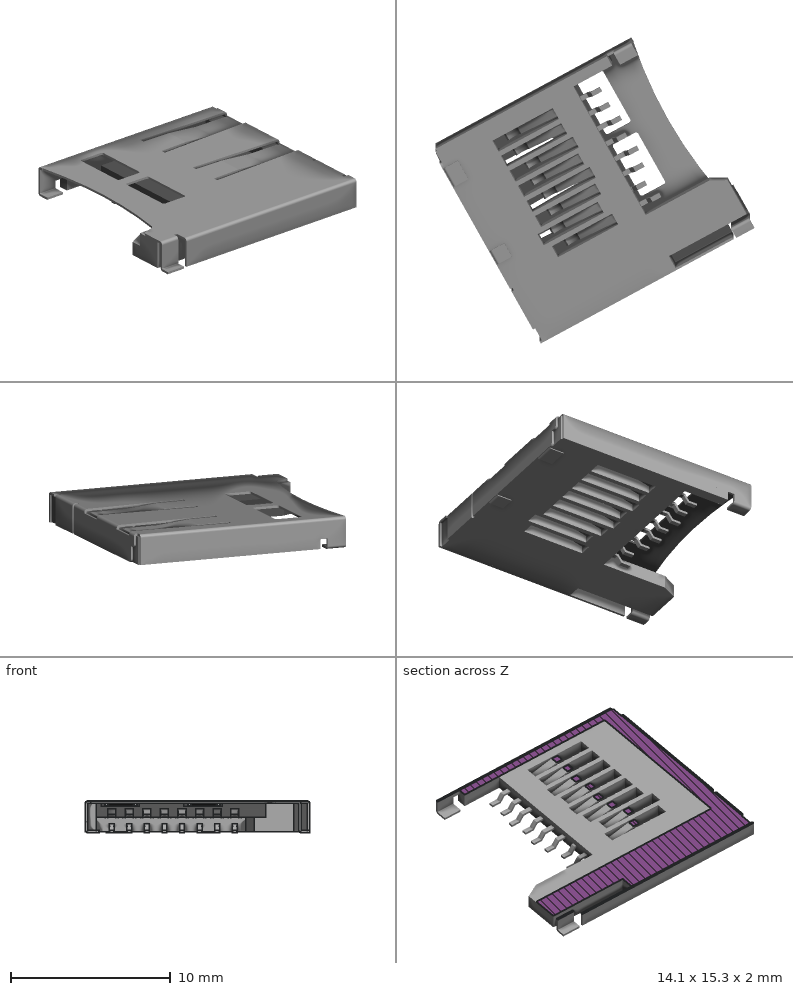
import cadquery as cq
import math

WIDTH = 14.05
LENGTH = 15.25
HEIGHT = 2.0
SHEET = 0.15
BEND = 0.2
BASE = 0.06
CEILING = HEIGHT - SHEET
PICK = 0.02

LEFT_FRONT = 1.05
LEFT_BACK = 15.0
BACK_WALL_LEFT = 0.5
BACK_WALL_STEP_Z = 1.1
BACK_WALL_STEP = 0.45
BACK_WALL_CORNER = 0.21
ARC_CREST = (5.8, 1.57)
ARC_END = (11.38, 0.98)
LIP_FRONT_X = 11.7
LIP_CORNER = 0.26
TAB_WALL_X = 13.5
RELIEF_X = 13.04
RELIEF_FRONT = 1.3
RELIEF_BACK = 1.51
BACK_SLOTS_X = (10.17, 13.13)
BACK_SLOT_WIDTH = 0.2
BACK_SLOT_DEPTH = 0.35

WINDOW_CENTERS_X = (2.84, 7.32)
WINDOW_WIDTH = 3.77
WINDOW_FRONT = 3.63
WINDOW_BACK = 5.43
WINDOW_CORNER = 0.15

SPRING_CENTERS_X = (2.24, 7.43)
SPRING_ROOT_Y = 8.43
SPRING_TIP_Y = 14.99
SPRING_ROOT_HALF = 0.88
SPRING_TIP_HALF = 0.73
SPRING_TIP_CORNER = 0.12
SPRING_DROP = 0.18
SPRING_SLOPE_START = 10.45
SPRING_SLOPE_END = 12.55
CUTOUT_ROOT_HALF = 1.2
CUTOUT_TIP_HALF = 0.99
CUTOUT_DEPTH = 0.27

NOTCH_FRONT = 2.32
NOTCH_BACK = 3.83
NOTCH_TOP = 0.69
LEFT_FOOT_RUN = 0.87
RIGHT_FOOT_RUN = WIDTH - (TAB_WALL_X - SHEET)
BACK_FOOT_RUN = 1.1
BACK_FEET_X = ((1.33, 2.67), (7.34, 8.31))

FLOOR_TOP = 0.96
HOUSING_FRONT = 5.55
HOUSING_BACK = LENGTH - SHEET
ARM_LEFT = 10.03
ARM_RIGHT = RELIEF_X
ARM_BEVEL_X = 0.53
ARM_BEVEL_Y = 1.0
UPPER_LEFT = 11.3
RAIL_RIGHT = 0.69
RAIL_FRONT = 2.79
STOP_FRONT = 14.0
POCKET_CENTERS_X = (2.18, 7.37)
POCKET_HALF = 1.19

CONTACT_FIRST_X = 1.66
CONTACT_PITCH = 1.1
LEG_WIDTH = 0.3
BEAM_WIDTH = 0.5
OPENING_WIDTH = 0.8
NORMAL_SHIFT = -0.43
LONG_SHIFT = -0.64
CONTACT_SHIFTS = (
    NORMAL_SHIFT, NORMAL_SHIFT, LONG_SHIFT, NORMAL_SHIFT,
    LONG_SHIFT, NORMAL_SHIFT, 0.0, NORMAL_SHIFT,
)
OPENING_BACK = 11.65
REAR_OPENING_BACK = 12.06
FOOT_TIP_Y = 4.56
FOOT_HEEL_Y = 5.12
LEG_BEND_Y = 5.43
LEG_TOP = 0.56
BEAM_ROOT_Y = 7.78
CREST_Y = 10.85
CREST_Z = 1.5
CREST_RADIUS = 0.67
CREST_START_ANGLE = 150
CREST_END_ANGLE = 39


def block(x0, x1, y0, y1, z0, z1):
    """Box between two corners."""
    return cq.Workplane("XY").box(x1 - x0, y1 - y0, z1 - z0, centered=False).translate((x0, y0, z0))


def bent_strip(run, drop, length):
    """L-shaped strip along +Y: outer corner on the Y axis, legs along +X and -Z."""
    inner = BEND - SHEET
    middle = math.sqrt(0.5)
    return (
        cq.Workplane("XZ")
        .moveTo(run, 0)
        .lineTo(BEND, 0)
        .threePointArc((BEND - BEND * middle, -BEND + BEND * middle), (0, -BEND))
        .lineTo(0, -drop)
        .lineTo(SHEET, -drop)
        .lineTo(SHEET, -BEND)
        .threePointArc((BEND - inner * middle, -BEND + inner * middle), (BEND, -SHEET))
        .lineTo(run, -SHEET)
        .close()
        .extrude(-length)
    )


def flange(length, bottom):
    """Wall bent down from the roof, reaching the given height."""
    return bent_strip(BEND + SHEET, HEIGHT - bottom, length).translate((0, 0, HEIGHT))


def foot(run, length):
    """Solder foot with the bent lower end of the wall above it."""
    return bent_strip(run, NOTCH_TOP, length).mirror("XY")


def facing_right(strip):
    """Turn a strip so that its outer face looks along +X."""
    return strip.mirror("YZ")


def facing_back(strip):
    """Turn a strip so that its outer face looks along +Y and it runs along +X."""
    return strip.rotate((0, 0, 0), (0, 0, 1), -90)


def roof():
    outline = (
        cq.Workplane("XY", origin=(0, 0, CEILING))
        .moveTo(BEND, LEFT_FRONT)
        .threePointArc(ARC_CREST, ARC_END)
        .lineTo(LIP_FRONT_X, 0)
        .lineTo(TAB_WALL_X - BEND, 0)
        .lineTo(TAB_WALL_X - BEND, RELIEF_FRONT)
        .lineTo(WIDTH - BEND, RELIEF_FRONT)
        .lineTo(WIDTH - BEND, LENGTH)
        .lineTo(BACK_SLOTS_X[1], LENGTH)
        .lineTo(BACK_SLOTS_X[1], LENGTH - BEND)
        .lineTo(BACK_WALL_LEFT, LENGTH - BEND)
        .lineTo(BACK_WALL_LEFT, LEFT_BACK)
        .lineTo(BEND, LEFT_BACK)
        .close()
        .extrude(SHEET)
    )
    lip_corners = cq.selectors.BoxSelector(
        (ARC_END[0] - PICK, -PICK, CEILING), (LIP_FRONT_X + PICK, ARC_END[1] + PICK, HEIGHT)
    )
    return outline.edges("|Z").edges(lip_corners).fillet(LIP_CORNER)


def walls():
    left = flange(LEFT_BACK - LEFT_FRONT, BASE).translate((0, LEFT_FRONT, 0))
    right = facing_right(flange(LENGTH - RELIEF_BACK, BASE)).translate((WIDTH, RELIEF_BACK, 0))
    front_right = facing_right(flange(RELIEF_FRONT, BEND)).translate((TAB_WALL_X, 0, 0))
    back_length = BACK_SLOTS_X[1] - BACK_WALL_LEFT
    back = facing_back(flange(back_length, BASE)).translate((BACK_WALL_LEFT, LENGTH, 0))
    return left.union(right).union(front_right).union(stepped_end(back))


def stepped_end(back):
    """Narrow the lower left end of the back wall, with rounded corners."""
    step_x = BACK_WALL_LEFT + BACK_WALL_STEP
    reach = LENGTH - BEND - SHEET
    notch = block(BACK_WALL_LEFT, step_x, reach, LENGTH, 0, BACK_WALL_STEP_Z)
    stepped = back.cut(notch)
    ends = (BACK_WALL_LEFT, BACK_WALL_STEP_Z), (step_x, BASE)
    for x, z in ends:
        corner = cq.selectors.BoxSelector((x - PICK, reach, z - PICK), (x + PICK, LENGTH, z + PICK))
        stepped = stepped.edges("|Y").edges(corner).fillet(BACK_WALL_CORNER)
    return stepped


def feet():
    left = foot(LEFT_FOOT_RUN, NOTCH_FRONT - LEFT_FRONT).translate((0, LEFT_FRONT, 0))
    right = foot(RIGHT_FOOT_RUN, RELIEF_FRONT).translate((TAB_WALL_X - SHEET, 0, 0))
    all_feet = left.union(right)
    for x0, x1 in BACK_FEET_X:
        all_feet = all_feet.union(facing_back(foot(BACK_FOOT_RUN, x1 - x0)).translate((x0, LENGTH, 0)))
    return all_feet


def window(center_x):
    depth = WINDOW_BACK - WINDOW_FRONT
    return (
        cq.Workplane("XY", origin=(center_x, WINDOW_FRONT + depth / 2, CEILING))
        .rect(WINDOW_WIDTH, depth)
        .extrude(SHEET)
        .edges("|Z")
        .fillet(WINDOW_CORNER)
    )


def spring_cutout(center_x):
    """Tapered opening round a spring tab, running out through the back bend."""
    bottom = HEIGHT - CUTOUT_DEPTH
    return (
        cq.Workplane("XY", origin=(center_x, 0, bottom))
        .polyline([
            (-CUTOUT_ROOT_HALF, SPRING_ROOT_Y),
            (CUTOUT_ROOT_HALF, SPRING_ROOT_Y),
            (CUTOUT_TIP_HALF, LENGTH),
            (-CUTOUT_TIP_HALF, LENGTH),
        ])
        .close()
        .extrude(HEIGHT - bottom)
    )


def spring_tab(center_x):
    """Tapered tab that slopes down from the roof to a lower flat tip."""
    blank = (
        cq.Workplane("XY", origin=(center_x, 0, 0))
        .polyline([
            (-SPRING_ROOT_HALF, SPRING_ROOT_Y),
            (SPRING_ROOT_HALF, SPRING_ROOT_Y),
            (SPRING_TIP_HALF, SPRING_TIP_Y),
            (-SPRING_TIP_HALF, SPRING_TIP_Y),
        ])
        .close()
        .extrude(HEIGHT)
        .edges("|Z and >Y")
        .fillet(SPRING_TIP_CORNER)
    )
    top_line = [
        (SPRING_ROOT_Y, HEIGHT),
        (SPRING_SLOPE_START, HEIGHT),
        (SPRING_SLOPE_END, HEIGHT - SPRING_DROP),
        (SPRING_TIP_Y, HEIGHT - SPRING_DROP),
    ]
    bottom_line = [(y, z - SHEET) for y, z in reversed(top_line)]
    side = (
        cq.Workplane("YZ", origin=(center_x, 0, 0))
        .polyline(top_line + bottom_line)
        .close()
        .extrude(SPRING_ROOT_HALF, both=True)
    )
    return side.intersect(blank)


def bend_reliefs():
    """Slots in the back edge and the round-ended slot at the front right."""
    half = (RELIEF_BACK - RELIEF_FRONT) / 2
    cuts = block(RELIEF_X + half, WIDTH, RELIEF_FRONT, RELIEF_BACK, 0, HEIGHT).union(
        cq.Workplane("XY")
        .center(RELIEF_X + half, RELIEF_FRONT + half)
        .circle(half)
        .extrude(HEIGHT)
    )
    for x in BACK_SLOTS_X:
        half_slot = BACK_SLOT_WIDTH / 2
        cuts = cuts.union(block(x - half_slot, x + half_slot, LENGTH - BACK_SLOT_DEPTH, LENGTH, 0, HEIGHT))
    return cuts


def make_shell():
    body = roof().union(walls())
    body = body.cut(block(0, SHEET, NOTCH_FRONT, NOTCH_BACK, 0, NOTCH_TOP))
    body = body.cut(block(0, SHEET, LEFT_FRONT, NOTCH_FRONT, 0, BEND))
    body = body.union(feet()).cut(bend_reliefs())
    for x in WINDOW_CENTERS_X:
        body = body.cut(window(x))
    for x in SPRING_CENTERS_X:
        body = body.cut(spring_cutout(x)).union(spring_tab(x))
    return body


def crest_point(radius, angle):
    """Point (y, z) on a circle about the crest centre."""
    center_z = CREST_Z - CREST_RADIUS
    turn = math.radians(angle)
    return CREST_Y + radius * math.cos(turn), center_z + radius * math.sin(turn)


def contact_leg():
    """Foot, ramp and straight leg, up to the root of the beam."""
    return (
        cq.Workplane("YZ")
        .polyline([
            (FOOT_TIP_Y, SHEET),
            (FOOT_HEEL_Y, SHEET),
            (LEG_BEND_Y, LEG_TOP),
            (BEAM_ROOT_Y, LEG_TOP),
            (BEAM_ROOT_Y, LEG_TOP - SHEET),
            (LEG_BEND_Y + SHEET / 2, LEG_TOP - SHEET),
            (FOOT_HEEL_Y + SHEET / 2, 0),
            (FOOT_TIP_Y, 0),
        ])
        .close()
        .extrude(LEG_WIDTH / 2, both=True)
    )


def contact_beam():
    """Rising beam that ends in a rounded crest."""
    inner = CREST_RADIUS - SHEET
    return (
        cq.Workplane("YZ")
        .moveTo(BEAM_ROOT_Y, LEG_TOP)
        .lineTo(*crest_point(CREST_RADIUS, CREST_START_ANGLE))
        .threePointArc(crest_point(CREST_RADIUS, 90), crest_point(CREST_RADIUS, CREST_END_ANGLE))
        .lineTo(*crest_point(inner, CREST_END_ANGLE))
        .threePointArc(crest_point(inner, 90), crest_point(inner, CREST_START_ANGLE))
        .lineTo(BEAM_ROOT_Y, LEG_TOP - SHEET)
        .close()
        .extrude(BEAM_WIDTH / 2, both=True)
    )


def floor_and_arm():
    floor = block(SHEET, WIDTH - SHEET, HOUSING_FRONT, HOUSING_BACK, BASE, FLOOR_TOP)
    arm = (
        cq.Workplane("XY", origin=(0, 0, BASE))
        .polyline([
            (ARM_LEFT, HOUSING_FRONT),
            (ARM_LEFT, ARM_BEVEL_Y),
            (ARM_LEFT + ARM_BEVEL_X, 0),
            (ARM_RIGHT, 0),
            (ARM_RIGHT, HOUSING_FRONT),
        ])
        .close()
        .extrude(FLOOR_TOP - BASE)
    )
    return floor.union(arm)


def raised_parts():
    right_front = block(UPPER_LEFT, ARM_RIGHT, 0, HOUSING_FRONT, FLOOR_TOP, CEILING)
    right_back = block(UPPER_LEFT, WIDTH - SHEET, HOUSING_FRONT, HOUSING_BACK, FLOOR_TOP, CEILING)
    rail = block(SHEET, RAIL_RIGHT, RAIL_FRONT, HOUSING_BACK, BASE, CEILING)
    rail_lug = block(0, SHEET, RAIL_FRONT, NOTCH_BACK, BASE, NOTCH_TOP)
    stop = block(SHEET, WIDTH - SHEET, STOP_FRONT, HOUSING_BACK, FLOOR_TOP, CEILING)
    for x in POCKET_CENTERS_X:
        stop = stop.cut(
            block(x - POCKET_HALF, x + POCKET_HALF, STOP_FRONT, HOUSING_BACK, CEILING - SPRING_DROP, CEILING)
        )
    return right_front.union(right_back).union(rail).union(rail_lug).union(stop)


def make_housing(shell):
    body = floor_and_arm().union(raised_parts())
    leg = contact_leg()
    beam = contact_beam()
    for index, shift in enumerate(CONTACT_SHIFTS):
        x = CONTACT_FIRST_X + index * CONTACT_PITCH
        opening_back = REAR_OPENING_BACK if shift == 0 else OPENING_BACK
        opening_left = x - OPENING_WIDTH / 2
        opening = block(
            opening_left, opening_left + OPENING_WIDTH, BEAM_ROOT_Y + shift, opening_back, BASE, FLOOR_TOP
        )
        contact = leg.union(beam).translate((x, shift, 0))
        body = body.cut(opening).union(contact)
    return body.cut(shell)


shell = make_shell()
housing = make_housing(shell)

result = cq.Compound.makeCompound([shell.solids().val(), housing.solids().val()])